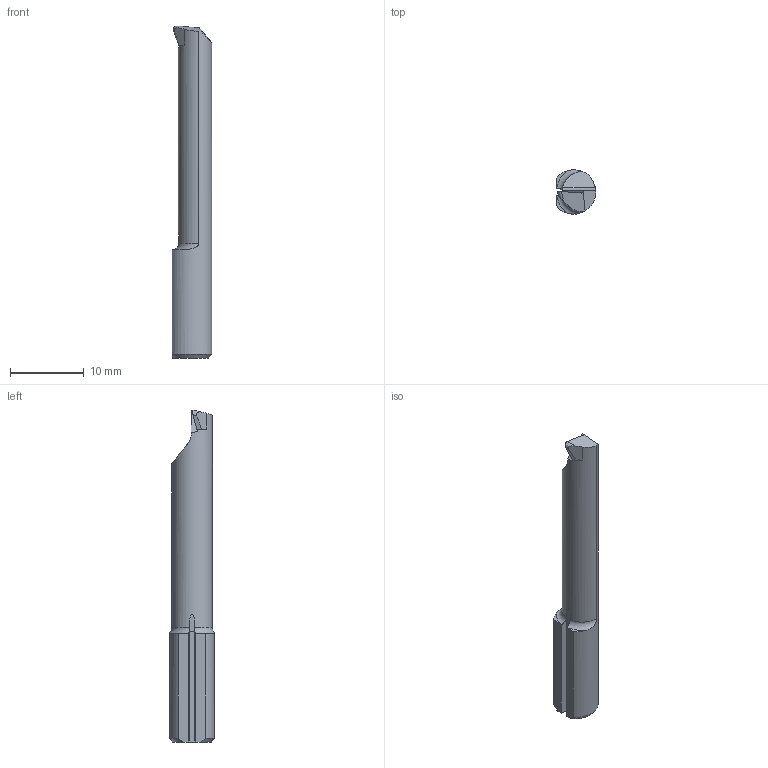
import math

import cadquery as cq

total_length = 45.0

shank_radius = 3.0
flat_x = -2.35
shank_top_z = 14.7
end_chamfer_width = 0.4
end_chamfer_height = 0.5

neck_radius = 2.74
neck_center_x = 1.22
shoulder_radius = 0.8

slot_floor_width = 0.7
slot_mouth_width = 1.0
slot_floor_x = -1.45
slot_ramp_start_z = 15.0
slot_end_z = 17.3

rake_face_y = 0.1
rake_face_bottom_z = 41.75
rake_runout_radius = 2.1
rake_runout_angle = math.radians(38.5)

tip_x = -2.2
nose_radius = 0.5
head_bottom_z = 42.4
end_slope = 0.073
end_relief = 0.21
flank_slope = 0.31
flank_relief = 0.17
side_plane_angle = math.radians(225.0)

bevel_start_x = 1.3
bevel_slope = 1.22
bevel_relief = 0.08

pocket_rake = 0.25
pocket_tilt = 0.045
pocket_wall_top_x = 1.28

reach = 6.0
clearance = 1.0

nose_center_x = tip_x + nose_radius
nose_center_z = total_length - nose_radius


def end_face_z(x):
    """Height of the end face in the plane Y = 0."""
    drop_at_nose = nose_radius * (math.hypot(1.0, end_slope) - 1.0)
    return total_length + drop_at_nose - end_slope * (x - nose_center_x)


def make_shank():
    """Round bar with a bevelled lower end and a clamping flat."""
    body = cq.Workplane("XY").circle(shank_radius).extrude(shank_top_z + shoulder_radius)
    bottom_chamfer = (
        cq.Workplane("XZ")
        .moveTo(shank_radius - end_chamfer_width, 0)
        .lineTo(shank_radius, end_chamfer_height)
        .lineTo(shank_radius, 0)
        .close()
        .revolve(360, (0, 0, 0), (0, 1, 0))
    )
    beyond_flat = cq.Workplane("XY").box(
        reach, 2 * reach, total_length, centered=(False, True, False)
    ).translate((flat_x - reach, 0, 0))
    return body.cut(bottom_chamfer).cut(beyond_flat)


def make_shoulder_relief():
    """Ring around the neck whose lower inner corner is a concave fillet."""
    fillet_top_z = shank_top_z + shoulder_radius
    fillet_outer = neck_radius + shoulder_radius
    diagonal = shoulder_radius * math.sqrt(0.5)
    return (
        cq.Workplane("XZ")
        .moveTo(neck_radius, fillet_top_z)
        .threePointArc(
            (fillet_outer - diagonal, fillet_top_z - diagonal), (fillet_outer, shank_top_z)
        )
        .lineTo(fillet_outer + reach, shank_top_z)
        .lineTo(fillet_outer + reach, fillet_top_z)
        .close()
        .revolve(360, (0, 0, 0), (0, 1, 0))
        .translate((neck_center_x, 0, 0))
    )


def make_neck():
    """Eccentric bar above the shank, left overlong for the end face to trim."""
    neck = (
        cq.Workplane("XY", origin=(neck_center_x, 0, shank_top_z))
        .circle(neck_radius)
        .extrude(total_length + clearance - shank_top_z)
    )
    return neck.intersect(cq.Workplane("XY").circle(shank_radius).extrude(2 * total_length))


def make_head_blank():
    """Block whose long flat side is tangent to the neck and runs out past the tip."""
    tangent_x = neck_center_x + neck_radius * math.cos(side_plane_angle)
    tangent_y = neck_radius * math.sin(side_plane_angle)
    corner_x = tangent_x - (rake_face_y - tangent_y) / abs(math.tan(side_plane_angle))
    return (
        cq.Workplane("XY", origin=(0, 0, head_bottom_z))
        .polyline(
            [
                (neck_center_x, rake_face_y),
                (neck_center_x, 0),
                (tangent_x, tangent_y),
                (corner_x, rake_face_y),
            ]
        )
        .close()
        .extrude(total_length - head_bottom_z + clearance)
    )


def outside_head_section(y):
    """Wire at depth y around everything left of the flank and above the end face."""
    shift_x = (flank_relief + flank_slope * end_relief) * -y
    shift_z = end_relief * y
    end_angle = math.atan(1.0 / end_slope)
    flank_angle = math.pi + math.atan(flank_slope)
    middle_angle = (end_angle + flank_angle) / 2

    def nose_point(angle):
        return (
            nose_center_x + nose_radius * math.cos(angle),
            nose_center_z + nose_radius * math.sin(angle),
        )

    flank_top = nose_point(flank_angle)
    flank_bottom_z = head_bottom_z - shift_z
    flank_bottom_x = flank_top[0] + flank_slope * (flank_top[1] - flank_bottom_z)
    shape = (
        cq.Workplane("XZ", origin=(shift_x, y, shift_z))
        .moveTo(-reach, flank_bottom_z)
        .lineTo(flank_bottom_x, flank_bottom_z)
        .lineTo(*flank_top)
        .threePointArc(nose_point(middle_angle), nose_point(end_angle))
        .lineTo(reach, end_face_z(reach))
        .lineTo(reach, total_length + reach)
        .lineTo(-reach, total_length + reach)
        .close()
    )
    return shape.wire().val()


def make_outside_head():
    """Everything around the relieved flank, nose and end face."""
    sections = [outside_head_section(shank_radius), outside_head_section(-shank_radius)]
    return cq.Workplane(cq.Solid.makeLoft(sections, True))


def make_bevel():
    """Wedge above the sloping bevel behind the end face."""

    def section(y):
        start_z = end_face_z(bevel_start_x) + bevel_relief * y
        return (
            cq.Workplane("XZ", origin=(bevel_start_x, y, start_z))
            .polyline(
                [
                    (-clearance, bevel_slope * clearance),
                    (reach, -bevel_slope * reach),
                    (reach, bevel_slope * clearance),
                ]
            )
            .close()
            .wire()
            .val()
        )

    return cq.Workplane(cq.Solid.makeLoft([section(shank_radius), section(-shank_radius)], True))


def make_rake_clearance():
    """Flat face near the axis that curves out into a sloping run-out."""

    def arc_point(angle):
        return (
            rake_face_y + rake_runout_radius * (1 - math.cos(angle)),
            rake_face_bottom_z - rake_runout_radius * math.sin(angle),
        )

    arc_end = arc_point(rake_runout_angle)
    ramp_length = reach - arc_end[0]
    return (
        cq.Workplane("YZ", origin=(-reach, 0, 0))
        .moveTo(rake_face_y, total_length + clearance)
        .lineTo(rake_face_y, rake_face_bottom_z)
        .threePointArc(arc_point(rake_runout_angle / 2), arc_end)
        .lineTo(reach, arc_end[1] - ramp_length / math.tan(rake_runout_angle))
        .lineTo(reach, total_length + clearance)
        .close()
        .extrude(2 * reach)
    )


def make_chip_pocket():
    """Pocket bounded by a sloping floor and a 45 degree wall rising towards +X."""
    wall_top_z = end_face_z(pocket_wall_top_x)
    outline = [
        (pocket_wall_top_x + clearance, wall_top_z + clearance),
        (-reach, wall_top_z - pocket_wall_top_x - reach),
        (-reach, wall_top_z + clearance),
    ]

    def floor_y(x, z):
        return -pocket_rake * (total_length - z) - pocket_tilt * (x - nose_center_x)

    floor_points = [cq.Vector(x, floor_y(x, z), z) for x, z in outline]
    floor = cq.Face.makeFromWires(cq.Wire.makePolygon(floor_points, close=True))
    return cq.Workplane(cq.Solid.extrudeLinear(floor, cq.Vector(0, reach, 0)))


def make_slot():
    """Tapered slot in the flat whose floor ramps up to the neck surface."""
    neck_left_x = neck_center_x - neck_radius
    side_taper = (slot_mouth_width - slot_floor_width) / 2 / (slot_floor_x - flat_x)
    outer_x = flat_x - clearance
    outer_half_width = slot_floor_width / 2 + side_taper * (slot_floor_x - outer_x)
    channel = (
        cq.Workplane("XY")
        .polyline(
            [
                (slot_floor_x, -slot_floor_width / 2),
                (slot_floor_x, slot_floor_width / 2),
                (outer_x, outer_half_width),
                (outer_x, -outer_half_width),
            ]
        )
        .close()
        .extrude(slot_end_z)
    )
    floor_profile = (
        cq.Workplane("XZ", origin=(0, reach, 0))
        .polyline(
            [
                (slot_floor_x, 0),
                (slot_floor_x, slot_ramp_start_z),
                (neck_left_x, slot_end_z),
                (outer_x, slot_end_z),
                (outer_x, 0),
            ]
        )
        .close()
        .extrude(2 * reach)
    )
    return channel.intersect(floor_profile)


boring_bar = (
    make_shank()
    .cut(make_shoulder_relief())
    .union(make_neck())
    .union(make_head_blank())
    .cut(make_outside_head())
    .cut(make_bevel())
    .cut(make_rake_clearance())
    .cut(make_chip_pocket())
    .cut(make_slot())
)

result = cq.Workplane(boring_bar.solids().val())